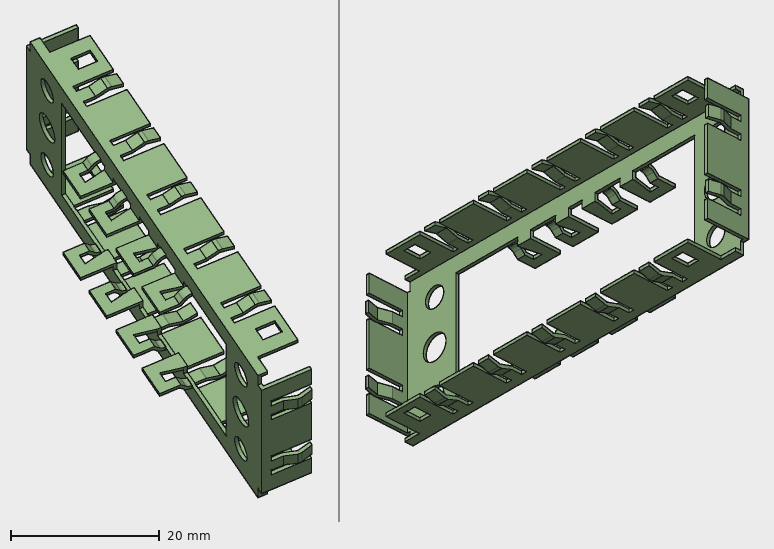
import cadquery as cq
import math

sheet = 0.58

half_length = 34.1
crest_height = 0.65
end_face_x = half_length - crest_height
end_flange_half = 11.25
long_face_z = 13.3
long_flange_half = 32.4
flange_depth = 7.65
fold_depth = 1.5
window_half_x = 23.4
window_half_z = 9.95

hole_x = 27.55
centre_hole_diameter = 4.4
side_hole_diameter = 3.55
side_hole_z = 8.05

tongue_width = 2.0
tongue_pitch = 10.5
tongue_count = 5
tab_count = tongue_count + 1
tab_width = 6.6
eyelet_width = 2.1
eyelet_length = 2.9
eyelet_y = 5.0

end_tongue_z = 6.0
end_slot_width = 4.0

ramp_start = 3.35
crest_start = 5.2
crest_end = 5.8
tip_height = 0.15
inner_ridge_height = 0.1

hook_positions = (3.8, 11.25)
hook_width = 5.0
hook_reach = 5.0
hook_outer_z = 9.15
hook_inner_z = hook_outer_z - sheet
slot_end = 3.3
strip_width = 1.5
slot_root_width = 0.95
slot_end_width = 1.65

strip_top_z = 10.3
strip_outer_radius = 2.0
bend_angle = math.radians(45)


def block(x0, x1, y0, y1, z0, z1):
    """Axis-aligned block between two opposite corners."""
    return cq.Workplane("XY").box(x1 - x0, y1 - y0, z1 - z0, centered=False).translate((x0, y0, z0))


def centred_positions(count, pitch):
    return [(i - (count - 1) / 2) * pitch for i in range(count)]


def face_plate():
    wide = block(-end_face_x, end_face_x, 0, sheet, -end_flange_half, end_flange_half)
    tall = block(-long_flange_half, long_flange_half, 0, sheet, -long_face_z, long_face_z)
    window = block(-window_half_x, window_half_x, 0, sheet, -window_half_z, window_half_z)
    plate = wide.union(tall).cut(window)
    for x in (-hole_x, hole_x):
        for z, diameter in (
            (0, centre_hole_diameter),
            (side_hole_z, side_hole_diameter),
            (-side_hole_z, side_hole_diameter),
        ):
            hole = cq.Workplane("XZ").center(x, z).circle(diameter / 2).extrude(-sheet)
            plate = plate.cut(hole)
    return plate


def spring_tongue():
    """Tongue along Y, centred on X = 0, whose flat outer face lies on Z = 0."""
    outer = [
        (fold_depth, 0),
        (ramp_start, 0),
        (crest_start, crest_height),
        (crest_end, crest_height),
        (flange_depth, tip_height),
    ]
    inner = [
        (flange_depth, tip_height - sheet),
        ((crest_start + crest_end) / 2, inner_ridge_height),
        (ramp_start, -sheet),
        (fold_depth, -sheet),
    ]
    profile = cq.Workplane("YZ").polyline(outer + inner).close()
    return profile.extrude(tongue_width / 2, both=True)


def top_flange():
    flange = block(
        -long_flange_half, long_flange_half, 0, fold_depth, long_face_z - sheet, long_face_z
    )
    tab_positions = centred_positions(tab_count, tongue_pitch)
    for x in tab_positions:
        tab = block(
            x - tab_width / 2, x + tab_width / 2,
            fold_depth, flange_depth,
            long_face_z - sheet, long_face_z,
        )
        flange = flange.union(tab)
    for x in (tab_positions[0], tab_positions[-1]):
        eyelet = block(
            x - eyelet_width / 2, x + eyelet_width / 2,
            eyelet_y - eyelet_length / 2, eyelet_y + eyelet_length / 2,
            long_face_z - sheet, long_face_z,
        )
        flange = flange.cut(eyelet)
    for x in centred_positions(tongue_count, tongue_pitch):
        flange = flange.union(spring_tongue().translate((x, 0, long_face_z)))
    return flange


def right_flange():
    flange = block(
        end_face_x - sheet, end_face_x, 0, flange_depth, -end_flange_half, end_flange_half
    )
    for z in (-end_tongue_z, end_tongue_z):
        slot = block(
            end_face_x - sheet, end_face_x,
            fold_depth, flange_depth,
            z - end_slot_width / 2, z + end_slot_width / 2,
        )
        tongue = spring_tongue().rotate((0, 0, 0), (0, 1, 0), 90)
        flange = flange.cut(slot).union(tongue.translate((end_face_x, 0, z)))
    return flange


def bent_strip():
    """Strip from the plate face at Y = 0 down to the flat of the hook, starting at X = 0."""
    centre_z = strip_top_z - strip_outer_radius
    inner_radius = strip_outer_radius - sheet

    def on_arc(radius, angle):
        return (-radius * math.sin(angle), centre_z + radius * math.cos(angle))

    outer_bend = on_arc(strip_outer_radius, bend_angle)
    inner_bend = on_arc(inner_radius, bend_angle)
    outer_foot_y = outer_bend[0] - (outer_bend[1] - hook_outer_z) / math.tan(bend_angle)
    inner_foot_y = inner_bend[0] - (inner_bend[1] - hook_inner_z) / math.tan(bend_angle)
    strip = (
        cq.Workplane("YZ")
        .moveTo(0, strip_top_z)
        .threePointArc(on_arc(strip_outer_radius, bend_angle / 2), outer_bend)
        .lineTo(outer_foot_y, hook_outer_z)
        .lineTo(-slot_end, hook_outer_z)
        .lineTo(-slot_end, hook_inner_z)
        .lineTo(inner_foot_y, hook_inner_z)
        .lineTo(*inner_bend)
        .threePointArc(on_arc(inner_radius, bend_angle / 2), (0, centre_z + inner_radius))
        .close()
    )
    return strip.extrude(strip_width)


def hook():
    """Hook on the top window edge, centred on X = 0, with its bent strip on the +X side."""
    half = hook_width / 2
    strip_x = half - strip_width
    web_x = strip_x - slot_root_width
    flat = (
        cq.Workplane("XY")
        .workplane(offset=hook_inner_z)
        .polyline([
            (-half, 0),
            (-half, -hook_reach),
            (half, -hook_reach),
            (half, -slot_end),
            (strip_x - slot_end_width, -slot_end),
            (web_x, 0),
        ])
        .close()
        .extrude(sheet)
    )
    web = block(-half, web_x, 0, sheet, hook_inner_z, window_half_z)
    return flat.union(web).union(bent_strip().translate((strip_x, 0, 0)))


result = face_plate()

top = top_flange()
result = result.union(top).union(top.mirror("XY"))

right = right_flange()
result = result.union(right).union(right.mirror("YZ"))

for hook_x in hook_positions:
    upper_right = hook().translate((hook_x, 0, 0))
    upper_pair = upper_right.union(upper_right.mirror("YZ"))
    result = result.union(upper_pair).union(upper_pair.mirror("XY"))